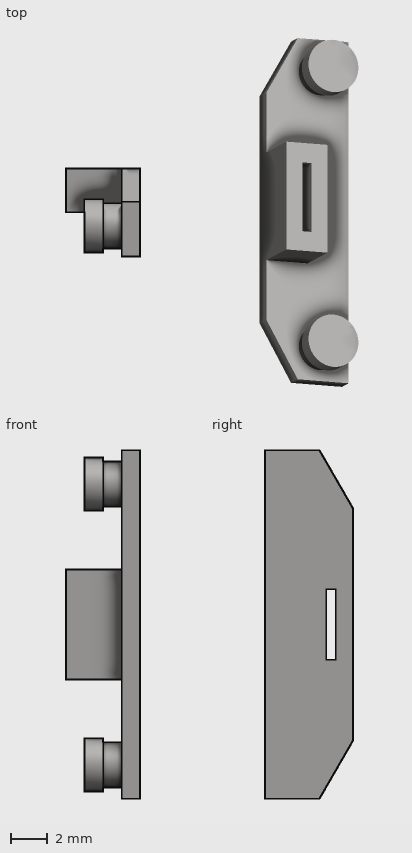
import cadquery as cq
import math

plate_thickness = 1.016
plate_width = 4.826
plate_height = 19.05
corner_cut_width = 1.84
corner_cut_angle = 60.0
corner_cut_height = corner_cut_width * math.tan(math.radians(corner_cut_angle))

block_length = 3.048
block_width = 2.413
block_height = 6.02
slot_width = 0.508
slot_height = 3.84

neck_diameter = 2.49
neck_length = 1.016
head_diameter = 2.921
head_length = 1.016
pin_spacing = 15.34
pin_edge_distance = 1.676

front_face_x = -plate_thickness
edge_y_max = plate_width / 2
edge_y_min = -plate_width / 2
top_z = plate_height / 2
block_center_y = edge_y_max - block_width / 2
pin_center_y = edge_y_min + pin_edge_distance


def make_plate():
    """Flat plate with both +Y corners cut off at an angle."""
    cut_start_y = edge_y_max - corner_cut_width
    cut_end_z = top_z - corner_cut_height
    outline = [
        (edge_y_min, -top_z),
        (cut_start_y, -top_z),
        (edge_y_max, -cut_end_z),
        (edge_y_max, cut_end_z),
        (cut_start_y, top_z),
        (edge_y_min, top_z),
    ]
    return cq.Workplane("YZ").polyline(outline).close().extrude(-plate_thickness)


def make_block():
    """Rectangular block standing on the plate's front face."""
    return (
        cq.Workplane("YZ", origin=(front_face_x, block_center_y, 0))
        .rect(block_width, block_height)
        .extrude(-block_length)
    )


def make_slot():
    """Cutter for the slot running through the block and the plate."""
    return (
        cq.Workplane("YZ", origin=(0, block_center_y, 0))
        .rect(slot_width, slot_height)
        .extrude(-(plate_thickness + block_length))
    )


def make_pin(center_z):
    """Round neck with a wider head, standing on the plate's front face."""
    neck = (
        cq.Workplane("YZ", origin=(front_face_x, pin_center_y, center_z))
        .circle(neck_diameter / 2)
        .extrude(-neck_length)
    )
    head = (
        cq.Workplane("YZ", origin=(front_face_x - neck_length, pin_center_y, center_z))
        .circle(head_diameter / 2)
        .extrude(-head_length)
    )
    return neck.union(head)


result = make_plate().union(make_block()).cut(make_slot())
for side in (-1, 1):
    result = result.union(make_pin(side * pin_spacing / 2))